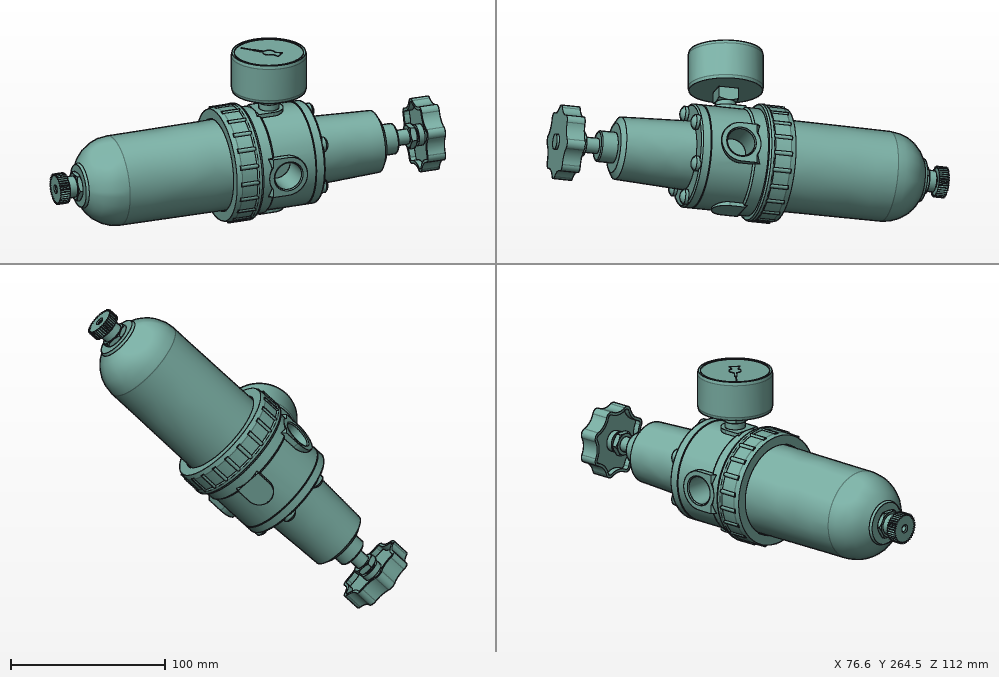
import cadquery as cq
import math


WHEEL_BACK = 114.2
WHEEL_FRONT = 102.0
LOBES = 8
LOBE_CENTER_RADIUS = 20.0
LOBE_RADIUS = 4.0
SCALLOP_RADIUS = 12.2
RIM = 1.9
WHEEL_RECESS_DEPTH = 4.0
HUB_RADIUS = 14.0 / 2

SCREW_BACK = 115.8
SCREW_RADIUS = 5.0
LOCK_NUT_BACK = 100.5
LOCK_NUT_FRONT = 96.2
LOCK_NUT_FLATS = 14.5

NUT_CHAMFER_ANGLE = 30

COLLAR_TOP = 87.0
COLLAR_RADIUS = 10.0
COLLAR_CHAMFER = 0.8
BONNET_TOP = 76.0
BONNET_TOP_RADIUS = 20.4
BONNET_CHAMFER_HEIGHT = 2.6
BONNET_CHAMFER_WIDTH = 4.2
BONNET_BASE_RADIUS = 22.5

FLANGE_TOP = 26.5
BODY_RADIUS = 67.5 / 2
BODY_EDGE = 1.0
GROOVE_Y = 19.8
GROOVE_WIDTH = 0.5
GROOVE_RADIUS = 67.0 / 2
SHOULDER_RADIUS = 70.0 / 2
SHOULDER_Y = -10.0
SHOULDER_CHAMFER = SHOULDER_RADIUS - BODY_RADIUS

BONNET_SCREWS = 6
SCREW_CIRCLE_RADIUS = 28.5
SCREW_HEAD_RADIUS = 9.8 / 2
SCREW_HEAD_EDGE = 2.0
SCREW_HEAD_HEIGHT = 4.5

SIDE_PAD_RADIUS = 13.2
GAUGE_PAD_RADIUS = 9.3
PAD_END = -10.5
PAD_ROOT = 29.0
PORT_RADIUS = 9.3
PORT_MOUTH_RADIUS = 10.0
PORT_DEPTH = 21.2

RING_TOP = -18.2
RING_BOTTOM = -36.5
RING_RADIUS = 38.3
RING_EDGE_WIDTH = 0.8
RING_EDGE_HEIGHT = 1.3
GRIP_TOP = -21.5
GRIP_BOTTOM = -33.0
GRIP_SLOPE_HEIGHT = 1.0
GRIP_RADIUS = 37.5
RING_BOTTOM_RADIUS = 36.8
RING_BORE_RADIUS = 30.5
RIBS = 21
RIB_ROUND_RADIUS = 1.5
RIB_BOTTOM = -33.8

BOWL_TOP_RADIUS = 30.0
DOME_TOP = -108.1
DOME_TOP_RADIUS = 29.3
DOME_BOTTOM = -131.0
DOME_BOTTOM_RADIUS = 14.8
BOWL_BOTTOM = -132.7
BOWL_BOTTOM_RADIUS = 14.0

DRAIN_NUT_BOTTOM = -136.0
DRAIN_NUT_FLATS = 17.0
DRAIN_RADIUS = 14.0 / 2
DRAIN_BOTTOM = -141.0
DRAIN_NECK_RADIUS = 9.8 / 2
KNOB_TOP = -142.0
OVERALL_LENGTH = 264.5
KNOB_BOTTOM = SCREW_BACK - OVERALL_LENGTH
KNOB_RADIUS = 10.0
KNURLS = 36
KNURL_DEPTH = 1.0
DRAIN_HOLE_RADIUS = 1.98
DRAIN_HOLE_CHAMFER = 0.8

OVERALL_HEIGHT = 112.0
GAUGE_TOP = OVERALL_HEIGHT - RING_RADIUS
GAUGE_BOTTOM = 47.5
GAUGE_RADIUS = 49.0 / 2
DIAL_RADIUS = 45 / 2
DIAL_DEPTH = 0.5
GAUGE_EDGE_WIDTH = 0.5
GAUGE_EDGE_HEIGHT = 2.0
STEM_SIZE = 13.2
STEM_SQUARE_BOTTOM = 39.0
STEM_CORNER_HEIGHT = 1.3
POINTER_HEIGHT = 0.3
POINTER_ANGLE = 45
POINTER_TIP = -19.5
POINTER_STEP = -11.0
POINTER_TAIL = 8.2
POINTER_HUB_RADIUS = 4.0
POINTER_TIP_WIDTH = 0.5
POINTER_BLADE_WIDTH = 1.5
POINTER_TAIL_WIDTH = 7.0


def cylinder_y(radius, y_low, y_high):
    """Cylinder about the Y axis."""
    return cq.Workplane("XZ", origin=(0, y_high, 0)).circle(radius).extrude(y_high - y_low)


def revolve_y(points):
    """Solid of revolution about Y from an outline of (radius, y) points."""
    return cq.Workplane("XY").polyline(points).close().revolve(360, (0, 0, 0), (0, 1, 0))


def hex_nut(flats, y_low, y_high):
    """Hexagonal nut with corners at +X and -X, its corners chamfered on both faces."""
    corner_radius = flats / math.sqrt(3)
    face_radius = flats / 2
    chamfer = (corner_radius - face_radius) * math.tan(math.radians(NUT_CHAMFER_ANGLE))
    nut = cq.Workplane("XZ", origin=(0, y_high, 0)).polygon(6, 2 * corner_radius).extrude(y_high - y_low)
    envelope = revolve_y([
        (0, y_low),
        (face_radius, y_low),
        (corner_radius, y_low + chamfer),
        (corner_radius, y_high - chamfer),
        (face_radius, y_high),
        (0, y_high),
    ])
    return nut.intersect(envelope)


def scalloped_disc(inset, y_low, y_high):
    """Disc with round lobes and tangent scallops, its whole outline moved inward by the inset."""
    lobe_radius = LOBE_RADIUS - inset
    reach = LOBE_RADIUS + SCALLOP_RADIUS
    half_pitch = math.pi / LOBES
    offset = LOBE_CENTER_RADIUS * math.sin(half_pitch)
    scallop_center_radius = LOBE_CENTER_RADIUS * math.cos(half_pitch) + math.sqrt(reach**2 - offset**2)
    tip_radius = LOBE_CENTER_RADIUS + lobe_radius
    valley_radius = scallop_center_radius - SCALLOP_RADIUS - inset
    share = lobe_radius / reach
    touch_x = LOBE_CENTER_RADIUS * (1 - share) + scallop_center_radius * math.cos(half_pitch) * share
    touch_y = scallop_center_radius * math.sin(half_pitch) * share
    touch_radius = math.hypot(touch_x, touch_y)
    touch_angle = math.atan2(touch_y, touch_x)

    def polar(radius, angle):
        return (radius * math.cos(angle), radius * math.sin(angle))

    disc = cq.Workplane("XZ", origin=(0, y_high, 0)).moveTo(*polar(touch_radius, half_pitch - touch_angle))
    for i in range(LOBES):
        lobe = (2 * i + 1) * half_pitch
        valley = lobe + half_pitch
        disc = disc.threePointArc(polar(tip_radius, lobe), polar(touch_radius, lobe + touch_angle))
        disc = disc.threePointArc(
            polar(valley_radius, valley),
            polar(touch_radius, valley + half_pitch - touch_angle),
        )
    return disc.close().extrude(y_high - y_low)


def make_handwheel():
    wheel = scalloped_disc(0, WHEEL_FRONT, WHEEL_BACK)
    recess_floor = WHEEL_FRONT + WHEEL_RECESS_DEPTH
    wheel = wheel.cut(scalloped_disc(RIM, WHEEL_FRONT, recess_floor))
    return wheel.union(cylinder_y(HUB_RADIUS, WHEEL_FRONT, recess_floor))


def make_bonnet():
    chamfer_base = BONNET_TOP - BONNET_CHAMFER_HEIGHT
    return revolve_y([
        (0, FLANGE_TOP),
        (BONNET_BASE_RADIUS, FLANGE_TOP),
        (BONNET_TOP_RADIUS, chamfer_base),
        (BONNET_TOP_RADIUS - BONNET_CHAMFER_WIDTH, BONNET_TOP),
        (COLLAR_RADIUS, BONNET_TOP),
        (COLLAR_RADIUS, COLLAR_TOP - COLLAR_CHAMFER),
        (COLLAR_RADIUS - COLLAR_CHAMFER, COLLAR_TOP),
        (0, COLLAR_TOP),
    ])


def make_body():
    body = revolve_y([
        (0, RING_TOP),
        (SHOULDER_RADIUS, RING_TOP),
        (SHOULDER_RADIUS, SHOULDER_Y),
        (BODY_RADIUS, SHOULDER_Y + SHOULDER_CHAMFER),
        (BODY_RADIUS, FLANGE_TOP - BODY_EDGE),
        (BODY_RADIUS - BODY_EDGE, FLANGE_TOP),
        (0, FLANGE_TOP),
    ])
    groove_low = GROOVE_Y - GROOVE_WIDTH / 2
    groove_high = GROOVE_Y + GROOVE_WIDTH / 2
    groove = cylinder_y(BODY_RADIUS, groove_low, groove_high)
    groove = groove.cut(cylinder_y(GROOVE_RADIUS, groove_low, groove_high))
    return body.cut(groove)


def make_ring():
    """Ribbed ring whose bore leaves a narrow gap around the bowl."""
    ring = revolve_y([
        (RING_BORE_RADIUS, RING_BOTTOM),
        (RING_BOTTOM_RADIUS, RING_BOTTOM),
        (GRIP_RADIUS, GRIP_BOTTOM),
        (GRIP_RADIUS, GRIP_TOP - GRIP_SLOPE_HEIGHT),
        (RING_RADIUS, GRIP_TOP),
        (RING_RADIUS, RING_TOP - RING_EDGE_HEIGHT),
        (RING_RADIUS - RING_EDGE_WIDTH, RING_TOP),
        (RING_BORE_RADIUS, RING_TOP),
    ])
    ribs = (
        cq.Workplane("XZ", origin=(0, GRIP_TOP, 0))
        .polarArray(RING_RADIUS - RIB_ROUND_RADIUS, 0, 360, RIBS)
        .circle(RIB_ROUND_RADIUS)
        .extrude(GRIP_TOP - RIB_BOTTOM)
    )
    return ring.union(ribs)


def make_bonnet_screw():
    """Domed screw head at the +Z place on the screw circle."""
    base_y = FLANGE_TOP - BODY_EDGE
    top_y = FLANGE_TOP + SCREW_HEAD_HEIGHT
    rim = cylinder_y(SCREW_HEAD_RADIUS, base_y, top_y)
    dome_height = SCREW_HEAD_HEIGHT - SCREW_HEAD_EDGE
    dome_radius = (SCREW_HEAD_RADIUS**2 + dome_height**2) / (2 * dome_height)
    dome = cq.Workplane("XY").sphere(dome_radius).translate((0, top_y - dome_radius, 0))
    return rim.intersect(dome).translate((0, 0, SCREW_CIRCLE_RADIUS))


def make_pad(radius):
    """U-shaped pad on the +X side. Its open end slopes down to the shoulder at 45 degrees."""
    height = SHOULDER_RADIUS - PAD_ROOT
    pad = cq.Workplane("YZ", origin=(PAD_ROOT, 0, 0)).circle(radius).extrude(height)
    legs = (
        cq.Workplane("XY", origin=(0, 0, -radius))
        .polyline([
            (PAD_ROOT, 0),
            (SHOULDER_RADIUS, 0),
            (SHOULDER_RADIUS, PAD_END),
            (PAD_ROOT, PAD_END - height),
        ])
        .close()
        .extrude(2 * radius)
    )
    return pad.union(legs)


def make_port():
    """Blind port bored into the +X side, with a chamfered mouth."""
    mouth = PORT_MOUTH_RADIUS - PORT_RADIUS
    floor = SHOULDER_RADIUS - PORT_DEPTH
    return (
        cq.Workplane("XY")
        .polyline([
            (floor, 0),
            (SHOULDER_RADIUS, 0),
            (SHOULDER_RADIUS, PORT_MOUTH_RADIUS),
            (SHOULDER_RADIUS - mouth, PORT_RADIUS),
            (floor, PORT_RADIUS),
        ])
        .close()
        .revolve(360, (0, 0, 0), (1, 0, 0))
    )


def make_regulator():
    """Housing with its bonnet, handwheel, screws, ports and ring."""
    regulator = make_body().union(make_ring()).union(make_bonnet())
    regulator = regulator.union(cylinder_y(SCREW_RADIUS, COLLAR_TOP, SCREW_BACK))
    regulator = regulator.union(hex_nut(LOCK_NUT_FLATS, LOCK_NUT_FRONT, LOCK_NUT_BACK))
    regulator = regulator.union(make_handwheel())
    for i in range(BONNET_SCREWS):
        turn = i * 360 / BONNET_SCREWS
        regulator = regulator.union(make_bonnet_screw().rotate((0, 0, 0), (0, 1, 0), turn))
    for turn in (0, 180):
        regulator = regulator.union(make_pad(SIDE_PAD_RADIUS).rotate((0, 0, 0), (0, 1, 0), turn))
    for turn in (90, 270):
        regulator = regulator.union(make_pad(GAUGE_PAD_RADIUS).rotate((0, 0, 0), (0, 1, 0), turn))
    for turn in (0, 180):
        regulator = regulator.cut(make_port().rotate((0, 0, 0), (0, 1, 0), turn))
    return regulator


def make_bowl_shell():
    return (
        cq.Workplane("XY")
        .moveTo(0, RING_TOP)
        .lineTo(BOWL_TOP_RADIUS, RING_TOP)
        .lineTo(DOME_TOP_RADIUS, DOME_TOP)
        .tangentArcPoint((DOME_BOTTOM_RADIUS, DOME_BOTTOM), relative=False)
        .lineTo(BOWL_BOTTOM_RADIUS, BOWL_BOTTOM)
        .lineTo(0, BOWL_BOTTOM)
        .close()
        .revolve(360, (0, 0, 0), (0, 1, 0))
    )


def make_drain():
    drain = hex_nut(DRAIN_NUT_FLATS, DRAIN_NUT_BOTTOM, BOWL_BOTTOM)
    drain = drain.union(cylinder_y(DRAIN_RADIUS, DRAIN_BOTTOM, DRAIN_NUT_BOTTOM))
    drain = drain.union(cylinder_y(DRAIN_NECK_RADIUS, KNOB_TOP, DRAIN_BOTTOM))
    root_radius = KNOB_RADIUS - KNURL_DEPTH
    half_pitch = math.pi / KNURLS
    outline = []
    for i in range(2 * KNURLS):
        radius = KNOB_RADIUS if i % 2 == 0 else root_radius
        outline.append((radius * math.cos(i * half_pitch), radius * math.sin(i * half_pitch)))
    knob = (
        cq.Workplane("XZ", origin=(0, KNOB_TOP, 0))
        .polyline(outline)
        .close()
        .extrude(KNOB_TOP - KNOB_BOTTOM)
    )
    hole = revolve_y([
        (0, KNOB_BOTTOM),
        (DRAIN_HOLE_RADIUS + DRAIN_HOLE_CHAMFER, KNOB_BOTTOM),
        (DRAIN_HOLE_RADIUS, KNOB_BOTTOM + DRAIN_HOLE_CHAMFER),
        (DRAIN_HOLE_RADIUS, BOWL_BOTTOM),
        (0, BOWL_BOTTOM),
    ])
    return drain.union(knob).cut(hole)


def make_bowl():
    return make_bowl_shell().union(make_drain())


def make_pointer():
    """Pointer built along X, with its tip at -X, then turned to its reading."""
    outline = [
        (POINTER_TIP, POINTER_TIP_WIDTH / 2),
        (POINTER_STEP, POINTER_TIP_WIDTH / 2),
        (POINTER_STEP, POINTER_BLADE_WIDTH / 2),
        (0, POINTER_BLADE_WIDTH / 2),
        (POINTER_TAIL, POINTER_TAIL_WIDTH / 2),
    ]
    mirrored = [(x, -y) for x, y in reversed(outline)]
    dial_z = GAUGE_TOP - DIAL_DEPTH
    blade = (
        cq.Workplane("XY", origin=(0, 0, dial_z))
        .polyline(outline + mirrored)
        .close()
        .extrude(POINTER_HEIGHT)
    )
    hub = cq.Workplane("XY", origin=(0, 0, dial_z)).circle(POINTER_HUB_RADIUS).extrude(POINTER_HEIGHT)
    return blade.union(hub).rotate((0, 0, 0), (0, 0, 1), POINTER_ANGLE)


def make_gauge():
    case = (
        cq.Workplane("XZ")
        .polyline([
            (0, GAUGE_BOTTOM),
            (GAUGE_RADIUS - GAUGE_EDGE_WIDTH, GAUGE_BOTTOM),
            (GAUGE_RADIUS, GAUGE_BOTTOM + GAUGE_EDGE_HEIGHT),
            (GAUGE_RADIUS, GAUGE_TOP - GAUGE_EDGE_HEIGHT),
            (GAUGE_RADIUS - GAUGE_EDGE_WIDTH, GAUGE_TOP),
            (0, GAUGE_TOP),
        ])
        .close()
        .revolve(360, (0, 0, 0), (0, 1, 0))
    )
    dial = cq.Workplane("XY", origin=(0, 0, GAUGE_TOP)).circle(DIAL_RADIUS).extrude(-DIAL_DEPTH)
    square = (
        cq.Workplane("XY", origin=(0, 0, STEM_SQUARE_BOTTOM))
        .rect(STEM_SIZE, STEM_SIZE)
        .extrude(GAUGE_BOTTOM - STEM_SQUARE_BOTTOM)
    )
    corner_radius = STEM_SIZE / math.sqrt(2)
    corner_z = STEM_SQUARE_BOTTOM + STEM_CORNER_HEIGHT
    envelope = (
        cq.Workplane("XZ")
        .polyline([
            (0, STEM_SQUARE_BOTTOM),
            (STEM_SIZE / 2, STEM_SQUARE_BOTTOM),
            (corner_radius, corner_z),
            (corner_radius, GAUGE_BOTTOM),
            (0, GAUGE_BOTTOM),
        ])
        .close()
        .revolve(360, (0, 0, 0), (0, 1, 0))
    )
    square = square.intersect(envelope)
    spigot = (
        cq.Workplane("XY", origin=(0, 0, SHOULDER_RADIUS))
        .circle(STEM_SIZE / 2)
        .extrude(STEM_SQUARE_BOTTOM - SHOULDER_RADIUS)
    )
    return case.cut(dial).union(make_pointer()).union(square).union(spigot)


regulator = make_regulator()
bowl = make_bowl()
gauge = make_gauge()
result = cq.Compound.makeCompound([regulator.val(), bowl.val(), gauge.val()])